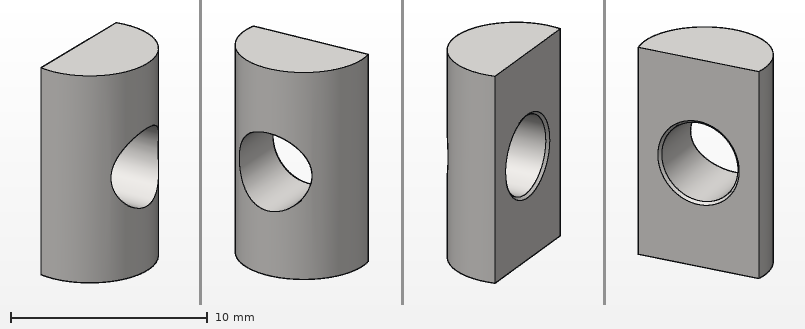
import cadquery as cq

height = 11.51
radius = 3.5
flat_offset = 0.69
hole_diameter = 4.33
mouth_diameter = 4.63
chamfer = (mouth_diameter - hole_diameter) / 2


def half_round_body():
    """Upright cylinder along Z, cut by a flat on its -X side."""
    cylinder = cq.Workplane("XY").circle(radius).extrude(height).translate((0, 0, -height / 2))
    kept_side = cq.Workplane("XY").box(
        radius + flat_offset, 2 * radius, height, centered=(False, True, True)
    ).translate((-flat_offset, 0, 0))
    return cylinder.intersect(kept_side)


def cross_hole():
    """Through hole along X with a 45 degree chamfer at the flat face."""
    flat_plane = cq.Workplane("YZ", origin=(-flat_offset, 0, 0))
    bore = flat_plane.circle(hole_diameter / 2).extrude(flat_offset + radius)
    mouth = cq.Workplane(
        cq.Solid.makeCone(
            mouth_diameter / 2, hole_diameter / 2, chamfer,
            pnt=cq.Vector(-flat_offset, 0, 0), dir=cq.Vector(1, 0, 0),
        )
    )
    return bore.union(mouth)


result = half_round_body().cut(cross_hole())